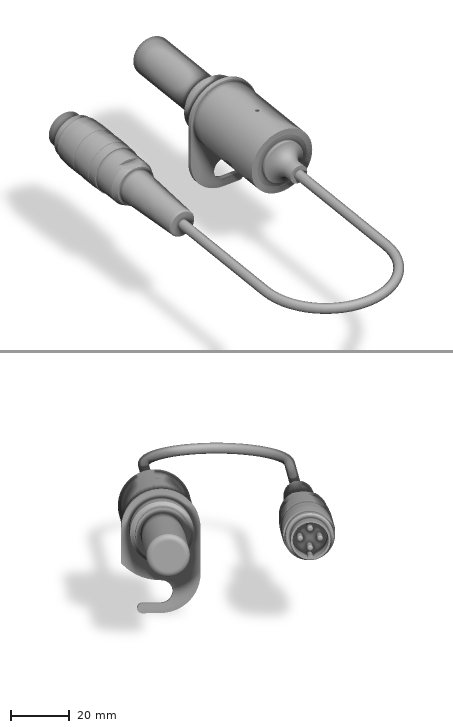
import cadquery as cq
import math

tilt = -13.2
cable_dia = 3.7
run_spacing = 49.8
bend_radius = run_spacing / 2
sensor_y = bend_radius
plug_y = -bend_radius

rod_tip_x = -142.5
nose_x = -107.7
collar_x = -106.7
plate_x = -99.1
housing_x = -97.5
housing_end_x = -62.5
gland_flare_x = -61.4
gland_neck_x = -56.1
gland_end_x = -52.4
rod_dia = 14.8
rod_round = 2.0
nose_dia = 18.2
housing_dia = 25.0
gland_base_dia = 16.0
gland_neck_dia = 7.0
end_recess_dia = 20.1
end_recess_depth = 0.3
vent_dia = 1.5
vent_depth = 1.6
vent_x = -77.4

collar_dia = 21.8
collar_chamfer = 1.1
set_screw_dia = 2.0
set_screw_x = -101.9
plate_radius = 13.5
plate_lower_radius = 18.0
slot_radius = 4.0
finger_height = 3.4
finger_reach = 8.0

plug_tip_x = -120.4
front_ring_x = -115.4
sleeve_x = -112.0
sleeve_full_x = -108.0
grip_groove_x = -102.2
grip_groove_end_x = -99.1
rear_band_x = -93.2
rear_band_end_x = -89.3
back_chamfer_x = -80.3
boot_x = -77.8
boot_end_x = -49.8
shell_dia = 13.5
front_ring_dia = 16.5
front_ring_chamfer = 0.5
sleeve_front_dia = 17.7
sleeve_dia = 18.2
grip_dia = 17.9
back_dia = 17.0
back_end_dia = 15.0
boot_dia = 12.9
boot_end_dia = 10.2
boot_round = 0.6
flat_height = 7.4
flat_x = -82.4
socket_dia = 12.2
socket_depth = 8.5
pin_dia = 2.0
pin_round = 0.6
pin_length = 6.1
pin_circle_radius = 3.4
pin_count = 4
key_dia = 2.0


def turned(profile, y):
    """Solid of revolution about the line parallel to X at the given Y."""
    return profile.close().revolve(360, (0, 0, 0), (1, 0, 0)).translate((0, y, 0))


def stepped(stations, y):
    """Turned solid through (x, diameter) stations."""
    points = [(x, dia / 2) for x, dia in stations]
    start = (stations[0][0], 0)
    end = (stations[-1][0], 0)
    return turned(cq.Workplane("XY").polyline([start, *points, end]), y)


def rod_along_x(x, length, dia, y, z=0):
    return cq.Workplane("YZ", origin=(x, y, z)).circle(dia / 2).extrude(length)


def sensor_body():
    body = stepped([(nose_x, nose_dia), (housing_x, nose_dia),
                    (housing_x, housing_dia), (housing_end_x, housing_dia)], sensor_y)
    rod = rod_along_x(rod_tip_x, nose_x - rod_tip_x, rod_dia, sensor_y)
    rod = rod.faces("<X").edges().fillet(rod_round)
    recess = rod_along_x(housing_end_x - end_recess_depth, end_recess_depth, end_recess_dia, sensor_y)
    vent = (
        cq.Workplane("XY", origin=(vent_x, sensor_y, housing_dia / 2 - vent_depth))
        .circle(vent_dia / 2)
        .extrude(2 * vent_depth)
    )
    return body.cut(recess).cut(vent).union(rod).union(gland())


def gland():
    """Strain relief: base disc and concave flare running out into a straight neck."""
    base_x = housing_end_x - end_recess_depth
    base_r = gland_base_dia / 2
    neck_r = gland_neck_dia / 2
    flare_length = gland_neck_x - gland_flare_x
    flare_rise = base_r - neck_r
    flare_radius = (flare_length**2 + flare_rise**2) / (2 * flare_rise)
    half_angle = math.asin(flare_length / flare_radius) / 2
    middle = (gland_neck_x - flare_radius * math.sin(half_angle),
              neck_r + flare_radius * (1 - math.cos(half_angle)))
    profile = (
        cq.Workplane("XY")
        .moveTo(base_x, 0)
        .lineTo(base_x, base_r)
        .lineTo(gland_flare_x, base_r)
        .threePointArc(middle, (gland_neck_x, neck_r))
        .lineTo(gland_end_x, neck_r)
        .lineTo(gland_end_x, 0)
    )
    return turned(profile, sensor_y)


def cable():
    """Two straight runs joined by a half-turn bend."""
    path = (
        cq.Workplane("XY")
        .moveTo(gland_end_x, sensor_y)
        .lineTo(0, sensor_y)
        .threePointArc((bend_radius, 0), (0, plug_y))
        .lineTo(boot_end_x, plug_y)
    )
    return cq.Workplane("YZ", origin=(gland_end_x, sensor_y, 0)).circle(cable_dia / 2).sweep(path)


def plug():
    body = stepped([
        (plug_tip_x, shell_dia), (front_ring_x, shell_dia),
        (front_ring_x, front_ring_dia - 2 * front_ring_chamfer),
        (front_ring_x + front_ring_chamfer, front_ring_dia), (sleeve_x, front_ring_dia),
        (sleeve_x, sleeve_front_dia), (sleeve_full_x, sleeve_dia),
        (grip_groove_x, sleeve_dia), (grip_groove_x, grip_dia),
        (grip_groove_end_x, grip_dia), (grip_groove_end_x, sleeve_dia),
        (rear_band_x, sleeve_dia), (rear_band_x, grip_dia), (rear_band_end_x, grip_dia),
        (rear_band_end_x, back_dia), (back_chamfer_x, back_dia), (boot_x, back_end_dia),
    ], plug_y)
    flat_length = boot_x - flat_x
    for side in (1, -1):
        flat = cq.Workplane("XY").box(flat_length, back_dia, back_dia).translate(
            (flat_x + flat_length / 2, plug_y, side * (flat_height + back_dia / 2)))
        body = body.cut(flat)
    boot = stepped([(boot_x, boot_dia), (boot_end_x, boot_end_dia)], plug_y)
    boot = boot.faces(">X").edges().fillet(boot_round)
    socket = rod_along_x(plug_tip_x, socket_depth, socket_dia, plug_y)
    body = body.cut(socket).union(boot).union(key())
    for i in range(pin_count):
        angle = 2 * math.pi * i / pin_count
        pin = rod_along_x(
            plug_tip_x + socket_depth - pin_length, pin_length, pin_dia,
            plug_y + pin_circle_radius * math.cos(angle), pin_circle_radius * math.sin(angle))
        pin = pin.faces("<X").edges().fillet(pin_round)
        body = body.union(pin)
    return body


def key():
    """Rounded rib along the bottom of the socket, centred on the socket wall."""
    rib = rod_along_x(plug_tip_x, socket_depth, key_dia, plug_y, -socket_dia / 2)
    return rib.intersect(rod_along_x(plug_tip_x, socket_depth, shell_dia, plug_y))


def hook_plate():
    """Plate around the sensor nose with an open hook below it."""
    slot_z = -plate_lower_radius - slot_radius
    finger_top_z = slot_z - slot_radius
    bottom_z = finger_top_z - finger_height
    finger_round = finger_height / 2
    finger_z = (finger_top_z + bottom_z) / 2
    finger_y = finger_reach - finger_round
    hook_z = bottom_z + plate_radius
    diagonal = math.sqrt(0.5)
    side_z = -math.sqrt(plate_lower_radius**2 - plate_radius**2)
    lower_half_angle = math.asin(plate_radius / plate_lower_radius) / 2
    lower_middle = (plate_lower_radius * math.sin(lower_half_angle),
                    -plate_lower_radius * math.cos(lower_half_angle))
    return (
        cq.Workplane("YZ", origin=(plate_x, sensor_y, 0))
        .moveTo(-plate_radius, 0)
        .threePointArc((0, plate_radius), (plate_radius, 0))
        .lineTo(plate_radius, side_z)
        .threePointArc(lower_middle, (0, -plate_lower_radius))
        .threePointArc((-slot_radius, slot_z), (0, finger_top_z))
        .lineTo(finger_y, finger_top_z)
        .threePointArc((finger_reach, finger_z), (finger_y, bottom_z))
        .lineTo(0, bottom_z)
        .threePointArc((-plate_radius * diagonal, hook_z - plate_radius * diagonal),
                       (-plate_radius, hook_z))
        .close()
        .extrude(housing_x - plate_x)
    )


def bracket_body():
    collar = rod_along_x(collar_x, housing_x - collar_x, collar_dia, sensor_y)
    collar = collar.faces("<X").edges().chamfer(collar_chamfer)
    bore = rod_along_x(collar_x, housing_x - collar_x, nose_dia, sensor_y)
    set_screw_hole = (
        cq.Workplane("XZ", origin=(set_screw_x, sensor_y, 0))
        .circle(set_screw_dia / 2)
        .extrude(collar_dia)
    )
    return collar.union(hook_plate()).cut(bore).cut(set_screw_hole)


def tilted(body):
    return body.rotate((0, 0, 0), (0, 0, 1), tilt)


sensor = tilted(sensor_body().union(cable()).union(plug()))
bracket = tilted(bracket_body())

result = cq.Compound.makeCompound([sensor.val(), bracket.val()])